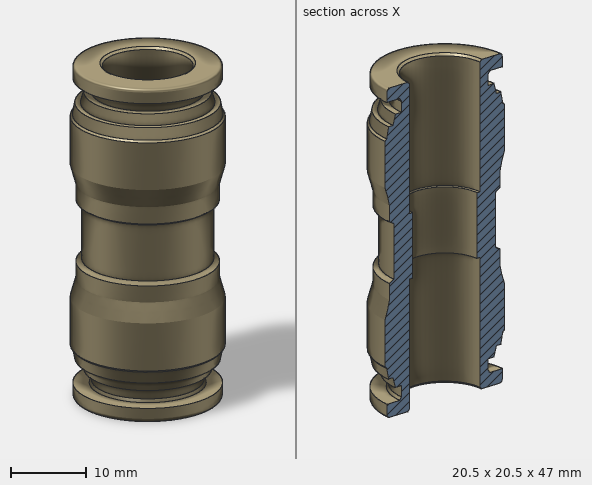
import cadquery as cq

length = 47.0
half_length = length / 2

collar_diameter = 19.8
collar_thickness = 2.0
collar_rim_radius = 0.5
neck_diameter = 14.9
neck_flare_width = 0.3
neck_flare_length = 0.4

ring_depth = 4.0
ring_outer_diameter = 16.9
ring_inner_diameter = 17.75

nose_depth = 5.5
nose_small_diameter = 19.25
nose_large_diameter = 19.95
nose_end_depth = 7.15

body_diameter = 20.5
body_start_depth = 7.43
body_end_depth = 14.1
shoulder_diameter = 19.0
shoulder_start_depth = 16.8
shoulder_end_depth = 19.15

waist_diameter = 17.5
waist_start_depth = 19.55

bore_diameter = 11.0
socket_diameter = 12.0
socket_depth = 18.8
mouth_chamfer = 0.35

half_profile = [
    (bore_diameter, socket_depth),
    (socket_diameter, socket_depth),
    (socket_diameter, mouth_chamfer),
    (socket_diameter + 2 * mouth_chamfer, 0),
    (collar_diameter, 0),
    (collar_diameter, collar_thickness),
    (neck_diameter + 2 * neck_flare_width, collar_thickness),
    (neck_diameter, collar_thickness + neck_flare_length),
    (neck_diameter, ring_depth),
    (ring_outer_diameter, ring_depth),
    (ring_inner_diameter, nose_depth),
    (nose_small_diameter, nose_depth),
    (nose_large_diameter, nose_end_depth),
    (body_diameter, body_start_depth),
    (body_diameter, body_end_depth),
    (shoulder_diameter, shoulder_start_depth),
    (shoulder_diameter, shoulder_end_depth),
    (waist_diameter, waist_start_depth),
]

upper_outline = [(diameter / 2, half_length - depth) for diameter, depth in half_profile]
lower_outline = [(radius, -height) for radius, height in reversed(upper_outline)]

connector = (
    cq.Workplane("XZ")
    .polyline(upper_outline + lower_outline)
    .close()
    .revolve(360, (0, 0), (0, 1))
)

largest_circle = cq.selectors.RadiusNthSelector(-1)
for end_face in (">Z", "<Z"):
    connector = connector.faces(end_face).edges(largest_circle).fillet(collar_rim_radius)

result = connector